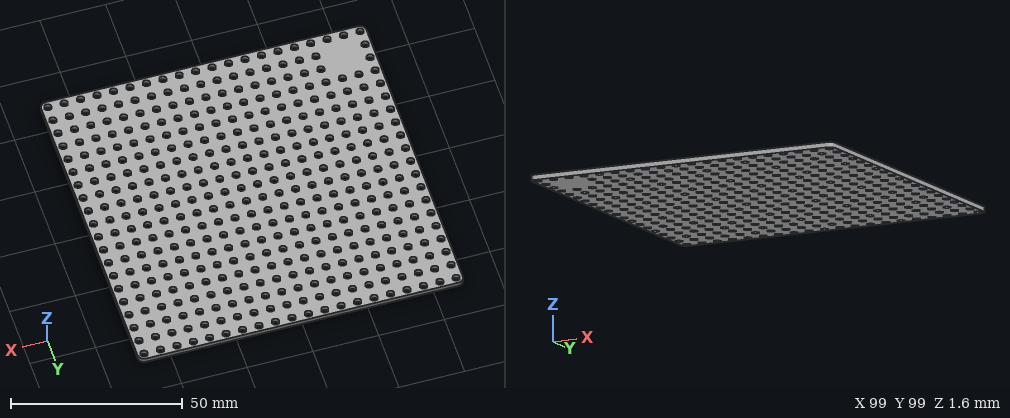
import cadquery as cq

side = 99.0
thickness = 1.6
corner_radius = 2.0

hole_diameter = 2.2
holes_per_side = 20
edge_margin = corner_radius
pitch = (side - 2 * edge_margin) / (holes_per_side - 1)

blank_columns = (1, 2)
blank_rows = (1, 2)


def grid_position(index):
    """Coordinate of a grid line, measured from the board centre."""
    return edge_margin + index * pitch - side / 2


def hole_centres():
    """Centres of all grid holes except those in the blank patch."""
    return [
        (grid_position(column), grid_position(row))
        for column in range(holes_per_side)
        for row in range(holes_per_side)
        if not (column in blank_columns and row in blank_rows)
    ]


board = cq.Workplane("XY").box(side, side, thickness, centered=(True, True, False))
board = board.edges("|Z").fillet(corner_radius)

result = board.faces(">Z").workplane().pushPoints(hole_centres()).hole(hole_diameter)